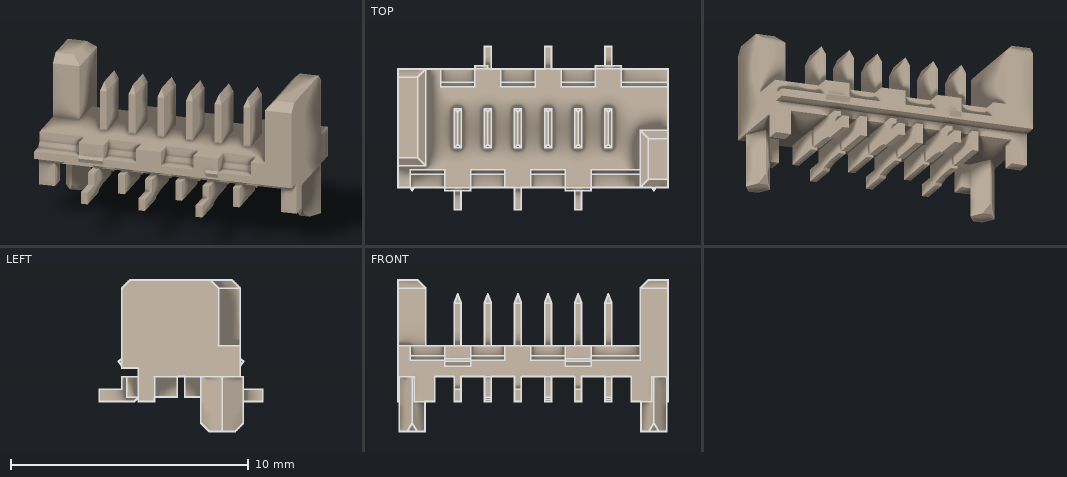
import cadquery as cq


length = 11.4
overall_depth = 6.9
overall_height = 6.4
depth = 5.0
deck_height = 1.31
front = -depth / 2
back = depth / 2
notch_depth = 0.7
notch_height = 0.35

wall_top = 4.08
wall_width = 1.19
wall_chamfer = 0.35
left_wall_setback = 0.91
right_wall_depth = 2.42

pin_count = 6
row_length = 6.35
pitch = row_length / (pin_count - 1)
pin_width = 0.3
blade_length = 1.65
blade_shoulder = 3.1
blade_tip = 3.49
blade_end_slope = 0.15
tail_reach = overall_depth / 2
tail_bottom = -1.05
foot_top = -0.52
tail_gap = 0.3
stub_end = 2.28
stub_bottom = -0.87
foot_bevel_start = 1.96
foot_bevel = 0.1
foot_slope_end = 1.25

tab_width = 1.1
pocket_length = 2 * pitch - tab_width
pocket_depth = 0.75
pocket_height = 0.63
pocket_slope = 0.19

bump_top = 0.75
bump_peak = 0.65
bump_bottom = 0.45
bump_reach = 0.14

leg_bottom = tail_bottom
rear_leg_size = 0.7
front_leg_width = 0.91
front_leg_depth = 0.75
front_leg_inner = 4.14
peg_x = 5.1
peg_y = -1.73
peg_half_width = 0.55
peg_half_depth = 0.9
peg_bottom = wall_top - overall_height
peg_chamfer = 0.35


def block(x_range, y_range, z_range):
    """Axis-aligned box given by its limits along X, Y and Z."""
    size = [high - low for low, high in (x_range, y_range, z_range)]
    corner = (x_range[0], y_range[0], z_range[0])
    return cq.Workplane("XY").box(*size, centered=False).translate(corner)


def prism_along_x(yz_points, x_start, x_end):
    """Extrude a YZ outline from x_start to x_end."""
    outline = cq.Workplane("YZ").workplane(offset=x_start).polyline(yz_points).close()
    return outline.extrude(x_end - x_start)


def pin_x(index):
    return (index - (pin_count - 1) / 2) * pitch


def housing():
    """Deck with its rear underside raised."""
    deck = block((-length / 2, length / 2), (front, back), (0, deck_height))
    notch = block((-length / 2, length / 2), (back - notch_depth, back), (0, notch_height))
    return deck.cut(notch)


def end_walls():
    """Two end walls, chamfered around the top except on the outer side."""
    outer = length / 2
    inner = outer - wall_width
    left = block((-outer, -inner), (front + left_wall_setback, back), (deck_height, wall_top))
    left = left.faces(">Z").edges("not <X").chamfer(wall_chamfer)
    right = block((inner, outer), (front, front + right_wall_depth), (deck_height, wall_top))
    right = right.faces(">Z").edges("not >X").chamfer(wall_chamfer)
    return left.union(right)


def edge_pocket(side, x_start, x_end):
    """Pocket open at the top and at the front (side = -1) or rear (side = 1) edge."""
    edge = side * back
    inner = side * (back - pocket_depth)
    slope_foot = side * (back - pocket_depth + pocket_slope)
    floor = deck_height - pocket_height
    outline = [
        (edge, deck_height),
        (edge, floor),
        (slope_foot, floor),
        (inner, floor + pocket_slope),
        (inner, deck_height),
    ]
    return prism_along_x(outline, x_start, x_end)


def edge_pockets():
    """Four pockets per side: one before each tab and a longer one after the last tab."""
    pockets = cq.Workplane("XY")
    for side, first_pin, last_end in ((-1, 0, length / 2 - wall_width), (1, 1, length / 2)):
        tab_centres = [pin_x(i) for i in range(first_pin, pin_count, 2)]
        for centre in tab_centres:
            pocket_end = centre - tab_width / 2
            pockets = pockets.add(edge_pocket(side, pocket_end - pocket_length, pocket_end))
        pockets = pockets.add(edge_pocket(side, tab_centres[-1] + tab_width / 2, last_end))
    return pockets.combine()


def latch_bump(side, x_start, width):
    """Triangular ridge on the front (side = -1) or rear (side = 1) face."""
    edge = side * back
    outline = [(edge, bump_bottom), (edge, bump_top), (edge + side * bump_reach, bump_peak)]
    return prism_along_x(outline, x_start, x_start + width)


def latch_bumps():
    """Ridges on the outer tabs of each side; the left rear one is half as wide."""
    half_tab = tab_width / 2
    bumps = latch_bump(-1, pin_x(0) - half_tab, tab_width)
    bumps = bumps.union(latch_bump(-1, pin_x(pin_count - 2) - half_tab, tab_width))
    bumps = bumps.union(latch_bump(1, pin_x(1) - half_tab, half_tab))
    return bumps.union(latch_bump(1, pin_x(pin_count - 1) - half_tab, tab_width))


def blade(x):
    """Upright contact blade with a hipped tip."""
    half_width = pin_width / 2
    half_length = blade_length / 2
    ridge = half_length - blade_end_slope
    side_outline = [
        (-half_length, 0),
        (half_length, 0),
        (half_length, blade_shoulder),
        (ridge, blade_tip),
        (-ridge, blade_tip),
        (-half_length, blade_shoulder),
    ]
    end_outline = [
        (x - half_width, 0),
        (x + half_width, 0),
        (x + half_width, blade_shoulder),
        (x, blade_tip),
        (x - half_width, blade_shoulder),
    ]
    gable = cq.Workplane("XZ").polyline(end_outline).close().extrude(half_length, both=True)
    return gable.intersect(prism_along_x(side_outline, x - half_width, x + half_width))


def tail(x, side):
    """Solder foot, thinning inwards, towards the given side and a short stub on the opposite side."""
    half_gap = tail_gap / 2
    foot_outline = [
        (side * half_gap, 0),
        (side * back, 0),
        (side * back, foot_top),
        (side * tail_reach, foot_top),
        (side * tail_reach, tail_bottom),
        (side * foot_bevel_start, tail_bottom),
        (side * (foot_bevel_start - foot_bevel), tail_bottom + foot_bevel),
        (side * foot_slope_end, stub_bottom),
        (side * half_gap, stub_bottom),
    ]
    stub_outline = [
        (-side * half_gap, 0),
        (-side * stub_end, 0),
        (-side * stub_end, stub_bottom),
        (-side * half_gap, stub_bottom),
    ]
    x_range = (x - pin_width / 2, x + pin_width / 2)
    return prism_along_x(foot_outline, *x_range).union(prism_along_x(stub_outline, *x_range))


def legs():
    """Two front and two rear standoff legs, mirrored about X = 0."""
    rear_y = back - notch_depth
    rear = block(
        (-length / 2, -length / 2 + rear_leg_size),
        (rear_y - rear_leg_size, rear_y),
        (leg_bottom, 0),
    )
    near = block(
        (-front_leg_inner - front_leg_width, -front_leg_inner),
        (front, front + front_leg_depth),
        (leg_bottom, 0),
    )
    left = rear.union(near)
    return left.union(left.mirror("YZ"))


def peg(x):
    """Diamond-section locating peg with its front and rear corners chamfered at the bottom."""
    y_front = peg_y - peg_half_depth
    y_back = peg_y + peg_half_depth
    corners = [(x - peg_half_width, peg_y), (x, y_front), (x + peg_half_width, peg_y), (x, y_back)]
    diamond = cq.Workplane("XY").polyline(corners).close().extrude(peg_bottom)
    side_outline = [
        (y_front, 0),
        (y_back, 0),
        (y_back, peg_bottom + peg_chamfer),
        (y_back - peg_chamfer, peg_bottom),
        (y_front + peg_chamfer, peg_bottom),
        (y_front, peg_bottom + peg_chamfer),
    ]
    return diamond.intersect(prism_along_x(side_outline, x - peg_half_width, x + peg_half_width))


result = housing().cut(edge_pockets()).union(end_walls()).union(latch_bumps()).union(legs())
for x in (-peg_x, peg_x):
    result = result.union(peg(x))
for i in range(pin_count):
    foot_side = -1 if i % 2 == 0 else 1
    result = result.union(blade(pin_x(i))).union(tail(pin_x(i), foot_side))